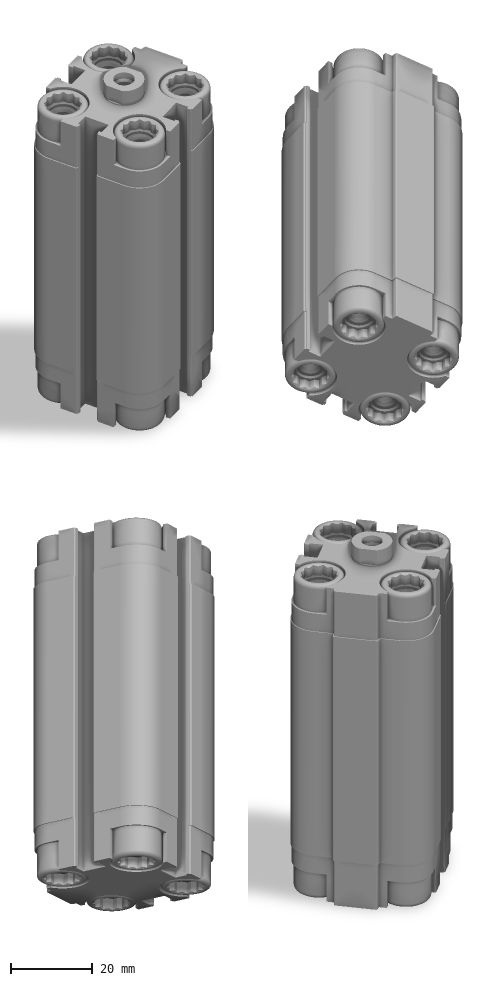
import cadquery as cq
import math

total_height = 92.5
rod_protrusion = 4.4
housing_height = total_height - rod_protrusion
cap_height = 12.6

barrel_width = 36.0
cap_inset = 0.3
screw_offset = 10.9

rail_height = 1.5
rail_tip_half_width = 5.6
rail_root_half_width = 5.9
rail_overlap = 0.9
rail_tip_round = 0.4

slot_opening = 5.4
slot_inner_width = 6.7
slot_floor = 12.95
slot_lip = 16.4
slot_mouth_round = 0.4

notch_depth = 7.6
notch_wall = 7.6
head_diameter = 12.5
head_gap = 0.3
head_fillet = 1.0
head_setback = 0.1

socket_mouth_diameter = 10.0
socket_across_flats = 8.1
socket_mouth_depth = 0.6
socket_depth = 3.05
recess_diameter = 7.2
recess_depth = 0.7
thread_diameter = 4.2
thread_mouth_diameter = 5.3
thread_mouth_depth = (thread_mouth_diameter - thread_diameter) / 2

rod_diameter = 10.0
rod_flat_distance = 9.0
rod_collar_height = 0.3
rod_mouth_depth = 1.85
rod_hole_depth = 7.4
drill_point_angle = 118.0


def rounded_square(width, height):
    """Square prism on Z = 0 with corner arcs centred on the screw axes."""
    corner_radius = width / 2 - screw_offset
    prism = cq.Workplane("XY").rect(width, width).extrude(height)
    return prism.edges("|Z").fillet(corner_radius)


def rail(inset, height):
    """Rail on the +Y side, its outer faces moved inwards by the inset."""
    tip_y = barrel_width / 2 + rail_height - inset
    root_y = barrel_width / 2 - inset
    inner_y = root_y - rail_overlap
    tip_x = rail_tip_half_width - inset
    root_x = rail_root_half_width - inset
    outline = [(-root_x, inner_y), (-root_x, root_y), (-tip_x, tip_y),
               (tip_x, tip_y), (root_x, root_y), (root_x, inner_y)]
    prism = cq.Workplane("XY").polyline(outline).close().extrude(height)
    return prism.faces(">Y").edges("|Z").fillet(rail_tip_round)


def t_slot(face_distance, height):
    """Cutter for the T-slot on the -Y side, its mouth rounded where it meets the outer face."""
    opening = slot_opening / 2
    inner = slot_inner_width / 2
    mouth = opening + slot_mouth_round
    round_start = face_distance - slot_mouth_round
    return (
        cq.Workplane("XY")
        .moveTo(-mouth, -face_distance)
        .radiusArc((-opening, -round_start), slot_mouth_round)
        .lineTo(-opening, -slot_lip)
        .lineTo(-inner, -slot_lip)
        .lineTo(-inner, -slot_floor)
        .lineTo(inner, -slot_floor)
        .lineTo(inner, -slot_lip)
        .lineTo(opening, -slot_lip)
        .lineTo(opening, -round_start)
        .radiusArc((mouth, -face_distance), slot_mouth_round)
        .close()
        .extrude(height)
    )


def profile(inset, height):
    """Slotted extrusion of the barrel (inset 0) or of a cap."""
    width = barrel_width - 2 * inset
    body = rounded_square(width, height).union(rail(inset, height))
    slot = t_slot(width / 2, height)
    for angle in (-90, 0, 90):
        body = body.cut(slot.rotate((0, 0, 0), (0, 0, 1), angle))
    return body


def corner_notch():
    """Space around a screw head at the top of the +X, +Y corner."""
    floor = housing_height - notch_depth
    start = cq.Workplane("XY").workplane(offset=floor)
    side = barrel_width / 2
    open_corner = start.center(notch_wall, notch_wall).rect(side, side, centered=False).extrude(notch_depth)
    ring = start.center(screw_offset, screw_offset).circle(head_diameter / 2 + head_gap).extrude(notch_depth)
    return open_corner.union(ring)


def screw_head():
    """Screw head filling the notch, rounded at its free end."""
    start = cq.Workplane("XY").workplane(offset=housing_height - notch_depth)
    head_height = notch_depth - head_setback
    head = start.center(screw_offset, screw_offset).circle(head_diameter / 2).extrude(head_height)
    return head.faces(">Z").edges().fillet(head_fillet)


def countersink(large_diameter, small_diameter, depth, top):
    """Cone on the +X, +Y screw axis, narrowing downwards from the given height."""
    profile_points = [(0, top), (large_diameter / 2, top), (small_diameter / 2, top - depth), (0, top - depth)]
    cone = cq.Workplane("XZ").polyline(profile_points).close().revolve(360, (0, 0), (0, 1))
    return cone.translate((screw_offset, screw_offset, 0))


def screw_socket():
    """Twelve-point socket, round recess and countersunk thread mouth of a screw."""
    across_corners = socket_across_flats / math.cos(math.pi / 6)
    socket_floor = housing_height - socket_depth
    recess_floor = socket_floor - recess_depth
    at_floor = cq.Workplane("XY").workplane(offset=socket_floor).center(screw_offset, screw_offset)
    hexagon = at_floor.polygon(6, across_corners).extrude(socket_depth)
    axis_start = (screw_offset, screw_offset, 0)
    axis_end = (screw_offset, screw_offset, 1)
    cutter = hexagon.union(hexagon.rotate(axis_start, axis_end, 30))
    recess = at_floor.circle(recess_diameter / 2).extrude(-recess_depth)
    mouth = countersink(socket_mouth_diameter, socket_across_flats, socket_mouth_depth, housing_height)
    thread_mouth = countersink(thread_mouth_diameter, thread_diameter, thread_mouth_depth, recess_floor)
    return cutter.union(recess).union(mouth).union(thread_mouth)


def at_all_corners(shape):
    """Copies of a +X, +Y, top corner shape in the four corners of both caps."""
    copies = []
    for angle in (0, 90, 180, 270):
        top = shape.rotate((0, 0, 0), (0, 0, 1), angle)
        bottom = top.mirror("XY").translate((0, 0, housing_height))
        copies += [top, bottom]
    return copies


def make_housing():
    body = profile(cap_inset, housing_height)
    barrel = profile(0, housing_height - 2 * cap_height)
    body = body.union(barrel.translate((0, 0, cap_height)))
    for notch in at_all_corners(corner_notch()):
        body = body.cut(notch)
    for head in at_all_corners(screw_head()):
        body = body.union(head)
    for socket in at_all_corners(screw_socket()):
        body = body.cut(socket)
    spacing = 2 * screw_offset
    thread_holes = cq.Workplane("XY").rect(spacing, spacing, forConstruction=True).vertices()
    body = body.cut(thread_holes.circle(thread_diameter / 2).extrude(housing_height))
    rod_bore = cq.Workplane("XY").workplane(offset=housing_height - cap_height)
    return body.cut(rod_bore.circle(rod_diameter / 2).extrude(cap_height))


def make_rod():
    start = cq.Workplane("XY").workplane(offset=housing_height - cap_height)
    rod = start.circle(rod_diameter / 2).extrude(cap_height + rod_protrusion)

    flats_start = cq.Workplane("XY").workplane(offset=housing_height + rod_collar_height)
    flats_height = rod_protrusion - rod_collar_height
    flats = flats_start.rect(2 * rod_diameter, 2 * rod_diameter).rect(2 * rod_diameter, rod_flat_distance)
    rod = rod.cut(flats.extrude(flats_height))

    mouth_radius = thread_mouth_diameter / 2
    hole_radius = thread_diameter / 2
    mouth_bottom = total_height - rod_mouth_depth
    thread_top = mouth_bottom - thread_mouth_depth
    hole_bottom = total_height - rod_hole_depth
    point_depth = hole_radius / math.tan(math.radians(drill_point_angle / 2))
    outline = [(0, total_height), (mouth_radius, total_height), (mouth_radius, mouth_bottom),
               (hole_radius, thread_top), (hole_radius, hole_bottom), (0, hole_bottom - point_depth)]
    hole = cq.Workplane("XZ").polyline(outline).close().revolve(360, (0, 0), (0, 1))
    return rod.cut(hole)


housing = make_housing()
piston_rod = make_rod()

result = cq.Compound.makeCompound([housing.val(), piston_rod.val()])